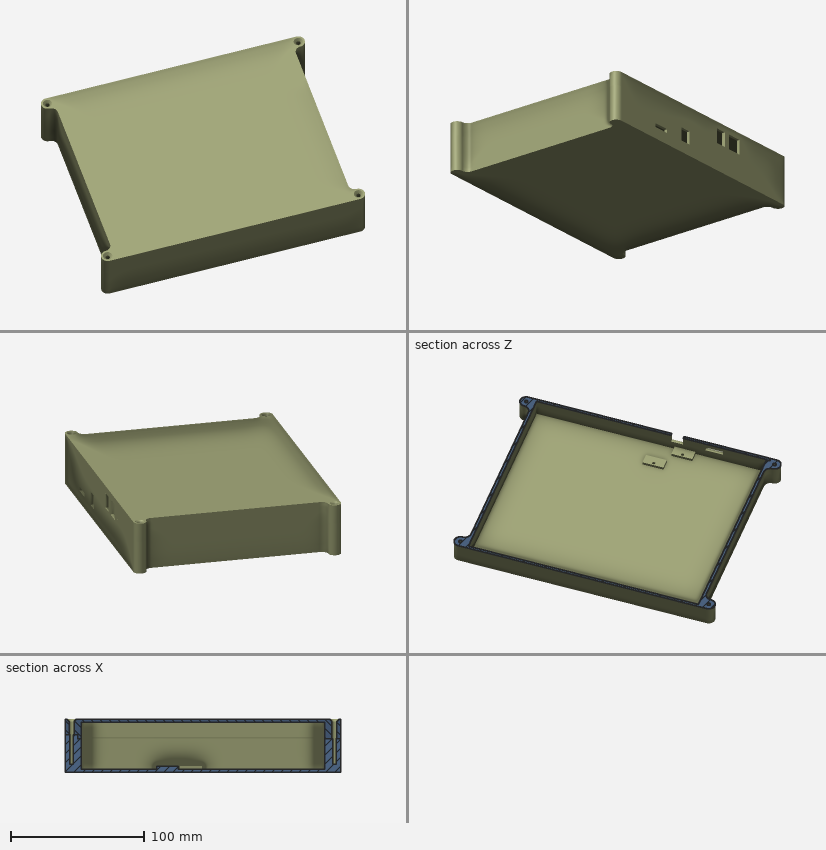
import cadquery as cq
import math

length_x = 161.2
length_y = 207.0
height = 40.0
wall = 2.5
half_x = length_x / 2
half_y = length_y / 2

lug_radius = 5.0
lug_width = 2 * lug_radius
end_face_y = half_y - lug_width
clearance_hole_diameter = 3.3
pilot_hole_diameter = 2.0
pilot_hole_floor = 6.2
screw_head_diameter = 7.0
countersink_angle = 90

seam_z = 25.5
rear_seam_z = 28.4
panel_front_y = 11.0
panel_bottom_z = 9.3

card_slot = (42.8, 56.7, panel_bottom_z, 12.5)
power_window = (15.5, 25.0, panel_bottom_z, 20.0)
small_port = (-27.5, -17.8, 22.4, 34.4)
large_port = (-45.3, -32.5, 22.4, 34.4)
windows = [card_slot, power_window, small_port, large_port]

pad_size_x = 8.0
pad_size_y = 16.5
pad_height = 2.3
pad_hole_diameter = 2.5
pad_hole_inset = 1.9
pad_corners = [(-70.4, 18.5), (-55.0, 0.8)]

relief_depth = 0.8
relief_height = 0.8

lug_centers = [
    (side * (half_x - lug_radius), end * (half_y - lug_radius))
    for side in (-1, 1)
    for end in (-1, 1)
]


def block(x_range, y_range, z_range):
    """Box given by its lower and upper limits on each axis."""
    size = [high - low for low, high in (x_range, y_range, z_range)]
    corner = (x_range[0], y_range[0], z_range[0])
    return cq.Workplane("XY").box(*size, centered=False).translate(corner)


def lug(side, end):
    """Rounded corner lug that flares into the end face through a concave fillet."""
    def corner(inset_x, inset_y):
        return (side * (half_x - inset_x), end * (half_y - inset_y))

    fillet_shift = lug_radius * (1 - math.sqrt(0.5))
    return (
        cq.Workplane("XY")
        .moveTo(*corner(0, lug_width))
        .lineTo(*corner(0, lug_radius))
        .threePointArc(corner(lug_radius, 0), corner(lug_width, lug_radius))
        .threePointArc(
            corner(lug_width + fillet_shift, lug_width - fillet_shift),
            corner(lug_width + lug_radius, lug_width),
        )
        .close()
        .extrude(height)
    )


def case_block():
    """Solid outline of the closed case, with a rounded lug at each corner."""
    outline = block((-half_x, half_x), (-end_face_y, end_face_y), (0, height))
    for center_x, center_y in lug_centers:
        side = math.copysign(1, center_x)
        end = math.copysign(1, center_y)
        outline = outline.union(lug(side, end))
    return outline


def cavity():
    """Room inside the case, one wall thickness in from its flat faces."""
    inner_x = half_x - wall
    inner_y = end_face_y - wall
    return block((-inner_x, inner_x), (-inner_y, inner_y), (wall, height - wall))


def lid_region():
    """Space above the parting surface, with the drop panel in the -X wall."""
    region = block((-half_x, half_x), (-half_y, end_face_y), (seam_z, height))
    region = region.union(block((-half_x, half_x), (end_face_y, half_y), (rear_seam_z, height)))
    panel = block((-half_x, wall - half_x), (panel_front_y, end_face_y), (panel_bottom_z, height))
    return region.union(panel)


def window_cutters():
    """Cutters for the openings through the -X wall."""
    cutters = cq.Workplane("XY")
    for front_y, rear_y, bottom_z, top_z in windows:
        cutters = cutters.add(block((-half_x, wall - half_x), (front_y, rear_y), (bottom_z, top_z)))
    return cutters.combine()


def mounting_pad(corner_x, corner_y):
    """Low rectangular pad on the inner floor, pierced by a hole near its +X edge."""
    pad = block(
        (corner_x - pad_size_x, corner_x),
        (corner_y, corner_y + pad_size_y),
        (wall, wall + pad_height),
    )
    hole = (
        cq.Workplane("XY", origin=(corner_x - pad_hole_inset, corner_y + pad_size_y / 2, wall))
        .circle(pad_hole_diameter / 2)
        .extrude(pad_height)
    )
    return pad.cut(hole)


def lid_relief():
    """Shallow step cut into the lid where its +X wall meets the base."""
    inner_x = half_x - wall
    inner_y = end_face_y - wall
    return block(
        (inner_x, inner_x + relief_depth), (-inner_y, inner_y), (seam_z, seam_z + relief_height)
    )


def make_base(shell):
    """Lower tray with a blind pilot hole in each lug."""
    pilots = (
        cq.Workplane("XY", origin=(0, 0, pilot_hole_floor))
        .pushPoints(lug_centers)
        .circle(pilot_hole_diameter / 2)
        .extrude(height)
    )
    base = shell.cut(lid_region()).cut(pilots)
    for corner in pad_corners:
        base = base.union(mounting_pad(*corner))
    return base


def make_lid(shell):
    """Cover with a countersunk clearance hole in each lug."""
    return (
        shell.intersect(lid_region())
        .cut(lid_relief())
        .faces(">Z")
        .workplane(origin=(0, 0, height))
        .pushPoints(lug_centers)
        .cskHole(clearance_hole_diameter, screw_head_diameter, countersink_angle)
    )


case_shell = case_block().cut(cavity()).cut(window_cutters())
base = make_base(case_shell)
lid = make_lid(case_shell)

result = cq.Compound.makeCompound([base.val(), lid.val()])